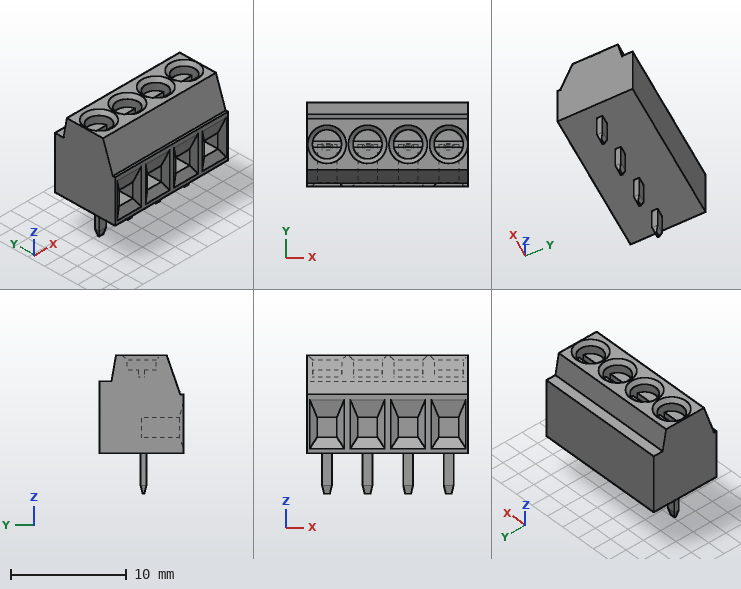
import cadquery as cq


TERMINAL_COUNT = 4
PITCH = 3.51
FIRST_TERMINAL_OFFSET = 1.75

BODY_LENGTH = 13.97
BODY_DEPTH = 7.29
BODY_HEIGHT = 8.51
FRONT_Y = -3.47
BACK_Y = FRONT_Y + BODY_DEPTH
FRONT_LEDGE_DEPTH = 0.28
FRONT_LEDGE_Z = 5.11
BACK_LEDGE_DEPTH = 1.04
BACK_LEDGE_Z = 6.26
TOP_FRONT_SETBACK = 1.46
TOP_BACK_SETBACK = 1.43

SCREW_Y = 0.19
WELL_DIAMETER = 2.52
WELL_RIM_DIAMETER = 3.32
WELL_RIM_DEPTH = (WELL_RIM_DIAMETER - WELL_DIAMETER) / 2
WELL_DEPTH = 1.26
DRIVER_SLOT_WIDTH = 0.53
DRIVER_SLOT_DEPTH = 0.60

FUNNEL_WIDTH = 2.99
FUNNEL_BOTTOM_Z = 0.42
FUNNEL_TOP_Z = 4.65
FUNNEL_DEPTH = 0.40
PASSAGE_SIZE = 1.70
PASSAGE_BOTTOM_Z = 1.42
PASSAGE_DEPTH = SCREW_Y - FRONT_Y - FUNNEL_DEPTH

PIN_WIDTH = 0.88
PIN_THICKNESS = 0.54
PIN_LENGTH = 3.50
PIN_TIP_LENGTH = 0.77
PIN_TIP_WIDTH = 0.52
PIN_TIP_THICKNESS = 0.16


def make_housing():
    """Extrude the stepped side profile along the terminal row."""
    profile = [
        (FRONT_Y, 0),
        (BACK_Y, 0),
        (BACK_Y, BACK_LEDGE_Z),
        (BACK_Y - BACK_LEDGE_DEPTH, BACK_LEDGE_Z),
        (BACK_Y - TOP_BACK_SETBACK, BODY_HEIGHT),
        (FRONT_Y + TOP_FRONT_SETBACK, BODY_HEIGHT),
        (FRONT_Y + FRONT_LEDGE_DEPTH, FRONT_LEDGE_Z),
        (FRONT_Y, FRONT_LEDGE_Z),
    ]
    return cq.Workplane("YZ").polyline(profile).close().extrude(BODY_LENGTH / 2, both=True)


def make_screw_well(x):
    """Countersunk round well with a driver slot across its floor."""
    floor_z = BODY_HEIGHT - WELL_DEPTH
    bore = (
        cq.Workplane("XY", origin=(x, SCREW_Y, floor_z))
        .circle(WELL_DIAMETER / 2)
        .extrude(WELL_DEPTH)
    )
    rim = (
        cq.Workplane("XY", origin=(x, SCREW_Y, BODY_HEIGHT))
        .circle(WELL_RIM_DIAMETER / 2)
        .workplane(offset=-WELL_RIM_DEPTH)
        .circle(WELL_DIAMETER / 2)
        .loft(ruled=True)
    )
    screw_head = (
        cq.Workplane("XY", origin=(x, SCREW_Y, floor_z))
        .circle(WELL_DIAMETER / 2)
        .extrude(-DRIVER_SLOT_DEPTH)
    )
    slot_band = cq.Workplane("XY", origin=(x, SCREW_Y, floor_z)).box(
        WELL_DIAMETER, DRIVER_SLOT_WIDTH, 2 * DRIVER_SLOT_DEPTH
    )
    driver_slot = screw_head.intersect(slot_band)
    return bore.union(rim).union(driver_slot)


def make_wire_entry(x):
    """Tapered funnel followed by a blind square passage."""
    funnel_center_z = (FUNNEL_BOTTOM_Z + FUNNEL_TOP_Z) / 2
    passage_center_z = PASSAGE_BOTTOM_Z + PASSAGE_SIZE / 2
    funnel = (
        cq.Workplane("XZ", origin=(x, FRONT_Y, funnel_center_z))
        .rect(FUNNEL_WIDTH, FUNNEL_TOP_Z - FUNNEL_BOTTOM_Z)
        .workplane(offset=-FUNNEL_DEPTH)
        .center(0, passage_center_z - funnel_center_z)
        .rect(PASSAGE_SIZE, PASSAGE_SIZE)
        .loft(ruled=True)
    )
    passage = (
        cq.Workplane("XZ", origin=(x, FRONT_Y + FUNNEL_DEPTH, passage_center_z))
        .rect(PASSAGE_SIZE, PASSAGE_SIZE)
        .extrude(-PASSAGE_DEPTH)
    )
    return funnel.union(passage)


def make_pin(x):
    """Flat pin below the housing with a tapered tip."""
    shank_length = PIN_LENGTH - PIN_TIP_LENGTH
    shank = (
        cq.Workplane("XY", origin=(x, 0, 0))
        .rect(PIN_WIDTH, PIN_THICKNESS)
        .extrude(-shank_length)
    )
    tip = (
        cq.Workplane("XY", origin=(x, 0, -shank_length))
        .rect(PIN_WIDTH, PIN_THICKNESS)
        .workplane(offset=-PIN_TIP_LENGTH)
        .rect(PIN_TIP_WIDTH, PIN_TIP_THICKNESS)
        .loft(ruled=True)
    )
    return shank.union(tip)


result = make_housing()
for index in range(TERMINAL_COUNT):
    terminal_x = -BODY_LENGTH / 2 + FIRST_TERMINAL_OFFSET + index * PITCH
    result = result.cut(make_screw_well(terminal_x))
    result = result.cut(make_wire_entry(terminal_x))
    result = result.union(make_pin(terminal_x))